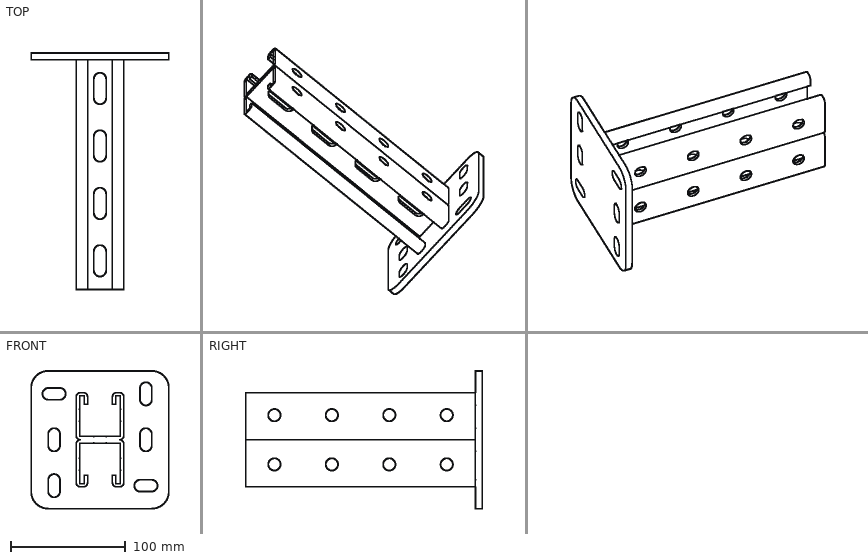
import cadquery as cq

total_length = 206.0
plate_size = 120.0
plate_thickness = 6.0
plate_corner_radius = 15.0
arm_length = total_length - plate_thickness

plate_slot_length = 20.0
plate_slot_width = 10.0
plate_slot_offset = 40.0

channel_width = 41.5
channel_height = 41.0
sheet_thickness = 2.9
bend_radius = 3.7
lip_width = 9.9
lip_depth = 10.0

perforation_count = 4
perforation_pitch = arm_length / perforation_count
side_hole_diameter = 10.5
side_hole_height = 21.5
web_slot_length = 27.2
web_slot_width = 10.5

perforation_places = [-(i + 0.5) * perforation_pitch for i in range(perforation_count)]


def make_plate():
    """Rounded square plate whose front face lies at Y = 0."""
    plate = (
        cq.Workplane("XY")
        .box(plate_size, plate_thickness, plate_size, centered=(True, False, True))
        .edges("|Y")
        .fillet(plate_corner_radius)
    )
    offset = plate_slot_offset
    upright = [(offset, offset), (offset, 0), (-offset, 0), (-offset, -offset)]
    level = [(-offset, offset), (offset, -offset)]
    for places, angle in ((upright, 90), (level, 0)):
        slots = (
            cq.Workplane("XZ")
            .pushPoints(places)
            .slot2D(plate_slot_length, plate_slot_width, angle)
            .extrude(-plate_thickness)
        )
        plate = plate.cut(slots)
    return plate


def arm_box(width, bottom, top, x=0):
    """Block of full arm length, centred at x, between two heights."""
    return (
        cq.Workplane("XY")
        .box(width, arm_length, top - bottom, centered=(True, False, False))
        .translate((x, -arm_length, bottom))
    )


def make_channel():
    """Upper channel: web on Z = 0, opening upwards, with inward lips turned down."""
    mouth_width = channel_width - 2 * lip_width
    inner_width = channel_width - 2 * sheet_thickness
    inner_top = channel_height - sheet_thickness
    lip_bottom = channel_height - lip_depth

    channel = arm_box(channel_width, 0, channel_height)
    channel = channel.cut(arm_box(mouth_width, sheet_thickness, channel_height))
    channel = channel.edges("|Y and (<Z or >Z)").fillet(bend_radius)
    channel = channel.cut(arm_box(inner_width, sheet_thickness, lip_bottom))
    pocket_width = lip_width - 2 * sheet_thickness
    pocket_center = (channel_width - lip_width) / 2
    for side in (-1, 1):
        channel = channel.cut(arm_box(pocket_width, lip_bottom, inner_top, side * pocket_center))
    return channel


def perforate(channel):
    """Cut round holes through both side walls and slots through the web."""
    side_holes = (
        cq.Workplane("YZ")
        .pushPoints([(y, side_hole_height) for y in perforation_places])
        .circle(side_hole_diameter / 2)
        .extrude(channel_width / 2, both=True)
    )
    web_slots = (
        cq.Workplane("XY")
        .pushPoints([(0, y) for y in perforation_places])
        .slot2D(web_slot_length, web_slot_width, 90)
        .extrude(sheet_thickness)
    )
    return channel.cut(side_holes).cut(web_slots)


upper_channel = perforate(make_channel())
lower_channel = upper_channel.mirror("XY")
result = make_plate().union(upper_channel).union(lower_channel)